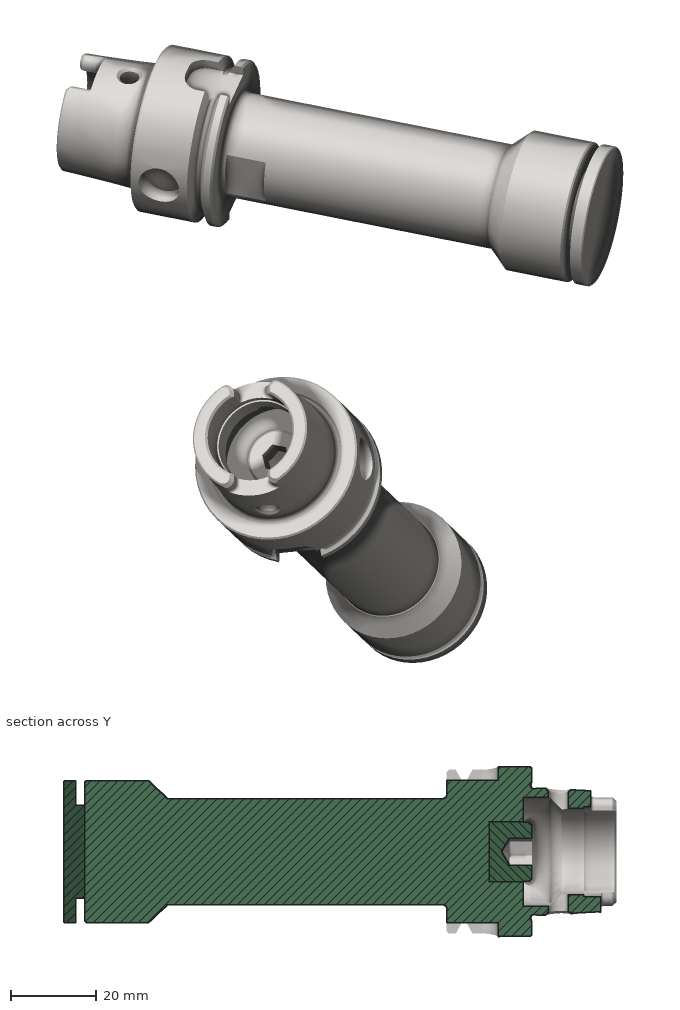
import cadquery as cq
import math


shank_length = 19.9
shank_end_radius = 14.1
shank_base_radius = 15.0
shank_chamfer = 0.4
taper_end_x = -2.3
neck_start_x = -1.25
neck_run = 0.35
neck_radius = 29.71 / 2

flange_radius = 20.0
flange_width = 20.0
flange_front_chamfer = 0.4
flange_back_chamfer = 0.5
face_groove_radius = 16.3
face_groove_floor_radius = 15.9
face_groove_depth = 0.3
face_groove_fillet = 0.8
gripper_center_x = 15.9
gripper_width = 3.9
gripper_half_angle = 30.0
relief_width = 1.5
relief_radius = 17.3
relief_fillet = 0.4

stem_fillet = 1.0
stem_radius = 12.5
head_cone_start = 85.7
head_cone_radius = 25.5 / 2
head_start = 90.0
head_end = 105.0
head_radius = 33.5 / 2
head_chamfer = 0.4

flats_distance = 22.0
flats_end = 30.6

bore_mouth_radius = 11.0
bore_radius = 10.5
step_radius = 10.1
step_x = -12.3
chamber_x = -7.0
chamber_radius = 25.5 / 2
chamber_floor_x = 2.0

slot_half_width = 4.1
slot_ledge_height = 12.75
slot_corner_radius = 2.25
slot_mouth_growth = 0.9
slot_mouth_depth = 1.0
slot_floor_fillet = 0.7
deep_slot_length = 6.0
shallow_slot_length = 3.7

access_hole_x = -6.2
access_hole_diameter = 4.6
access_mouth_chamfer = 0.7

pocket_x = 7.1
pocket_diameter = 10.0
pocket_depth = 4.6

keyway_start = 8.0
keyway_width = 11.0
keyway_corner_radius = 4.0
keyway_floor_height = 16.8

screw_radius = 7.0
screw_chamfer = 0.6
screw_start = 0.0
screw_end = 10.0
socket_width = 6.0
socket_turn = 16.0
socket_depth = 5.0
drill_point_angle = 118.0

disc_start = 107.0
disc_end = 110.0
disc_radius = head_radius
disc_chamfer = 0.3
disc_neck_radius = 11.0


def revolve_about_axis(points):
    """Turn an (x, radius) outline around the X axis."""
    return cq.Workplane("XY").polyline(points).close().revolve(360, (0, 0, 0), (1, 0, 0))


def arc_middle(center, radius, angle):
    """Point on a circle at an angle in degrees, used to pass an arc through it."""
    turn = math.radians(angle)
    return (center[0] + radius * math.cos(turn), center[1] + radius * math.sin(turn))


def turned_holder():
    groove_center = (face_groove_depth - face_groove_fillet, neck_radius + face_groove_fillet)
    stem_start = flange_width + stem_fillet
    stem_center = (stem_start, stem_radius + stem_fillet)
    return (
        cq.Workplane("XY")
        .moveTo(-shank_length, 0)
        .lineTo(-shank_length, shank_end_radius - shank_chamfer)
        .lineTo(-shank_length + shank_chamfer, shank_end_radius)
        .lineTo(taper_end_x, shank_base_radius)
        .lineTo(neck_start_x, shank_base_radius)
        .lineTo(neck_start_x + neck_run, neck_radius)
        .lineTo(groove_center[0], neck_radius)
        .threePointArc(
            arc_middle(groove_center, face_groove_fillet, -45),
            (face_groove_depth, groove_center[1]),
        )
        .lineTo(face_groove_depth, face_groove_floor_radius)
        .lineTo(0, face_groove_radius)
        .lineTo(0, flange_radius - flange_front_chamfer)
        .lineTo(flange_front_chamfer, flange_radius)
        .lineTo(flange_width - flange_back_chamfer, flange_radius)
        .lineTo(flange_width, flange_radius - flange_back_chamfer)
        .lineTo(flange_width, stem_center[1])
        .threePointArc(arc_middle(stem_center, stem_fillet, 225), (stem_start, stem_radius))
        .lineTo(head_cone_start, stem_radius)
        .lineTo(head_cone_start, head_cone_radius)
        .lineTo(head_start, head_radius)
        .lineTo(head_end - head_chamfer, head_radius)
        .lineTo(head_end, head_radius - head_chamfer)
        .lineTo(head_end, 0)
        .close()
        .revolve(360, (0, 0, 0), (1, 0, 0))
    )


def gripper_groove():
    """V-groove around the flange with a straight-walled relief along its bottom."""
    outer_half = gripper_width / 2
    relief_half = relief_width / 2
    floor_half = relief_half - relief_fillet
    wall_top = flange_radius - (outer_half - relief_half) / math.tan(math.radians(gripper_half_angle))
    wall_bottom = relief_radius + relief_fillet
    left_center = (-floor_half, wall_bottom)
    right_center = (floor_half, wall_bottom)
    return (
        cq.Workplane("XY", origin=(gripper_center_x, 0, 0))
        .moveTo(-outer_half, flange_radius)
        .lineTo(-relief_half, wall_top)
        .lineTo(-relief_half, wall_bottom)
        .threePointArc(arc_middle(left_center, relief_fillet, 225), (-floor_half, relief_radius))
        .lineTo(floor_half, relief_radius)
        .threePointArc(arc_middle(right_center, relief_fillet, -45), (relief_half, wall_bottom))
        .lineTo(relief_half, wall_top)
        .lineTo(outer_half, flange_radius)
        .close()
        .revolve(360, (0, 0, 0), (1, 0, 0))
    )


def shank_bore():
    mouth_run = bore_mouth_radius - bore_radius
    return revolve_about_axis([
        (-shank_length, 0),
        (-shank_length, bore_mouth_radius),
        (-shank_length + mouth_run, bore_radius),
        (step_x, bore_radius),
        (step_x, step_radius),
        (chamber_x, step_radius),
        (chamber_x + chamber_radius - step_radius, chamber_radius),
        (chamber_floor_x, chamber_radius),
        (chamber_floor_x, 0),
    ])


def slot_outline(x, growth):
    """Slot cross-section at X = x: straight flanks that round over onto a ledge."""
    side = slot_half_width + growth
    ledge = slot_ledge_height - growth
    radius = slot_corner_radius - growth
    corner = side + radius
    mid = radius * math.sqrt(0.5)
    outer = flange_radius
    return (
        cq.Workplane("YZ", origin=(x, 0, 0))
        .moveTo(-side, 0)
        .lineTo(-side, ledge - radius)
        .threePointArc((-corner + mid, ledge - radius + mid), (-corner, ledge))
        .lineTo(-outer, ledge)
        .lineTo(-outer, outer)
        .lineTo(outer, outer)
        .lineTo(outer, ledge)
        .lineTo(corner, ledge)
        .threePointArc((corner - mid, ledge - radius + mid), (side, ledge - radius))
        .lineTo(side, 0)
        .close()
    )


def drive_slot(length):
    body = slot_outline(-shank_length, 0).extrude(length)
    body = body.faces(">X").edges().fillet(slot_floor_fillet)
    mouth_end = slot_outline(-shank_length + slot_mouth_depth, 0).wires().val()
    mouth_start = slot_outline(-shank_length, slot_mouth_growth).wires().val()
    mouth = cq.Workplane(cq.Solid.makeLoft([mouth_start, mouth_end], True))
    return body.union(mouth)


def cut_access_holes(body):
    """Drill through both sides of the shank and chamfer the outer rims of the hole."""
    hole = cq.Workplane("XY").center(access_hole_x, 0).circle(access_hole_diameter / 2)
    body = body.cut(hole.extrude(flange_radius, both=True))
    reach = access_hole_diameter
    for inner, outer in ((shank_end_radius, shank_base_radius), (-shank_base_radius, -shank_end_radius)):
        rim = cq.selectors.BoxSelector(
            (access_hole_x - reach, -reach, inner),
            (access_hole_x + reach, reach, outer),
        )
        body = body.edges(rim).chamfer(access_mouth_chamfer)
    return body


def data_carrier_pocket():
    return (
        cq.Workplane("XZ", origin=(0, -(flange_radius - pocket_depth), 0))
        .center(pocket_x, 0)
        .circle(pocket_diameter / 2)
        .extrude(flange_radius)
    )


def keyway(side):
    length = flange_width - keyway_start
    block = (
        cq.Workplane("XY")
        .box(length, keyway_width, flange_radius, centered=(False, True, False))
        .edges("<X and |Z")
        .fillet(keyway_corner_radius)
        .translate((keyway_start, 0, keyway_floor_height))
    )
    if side < 0:
        block = block.rotate((0, 0, 0), (1, 0, 0), 180)
    return block


def wrench_flat(side):
    start = flange_width + stem_fillet
    return (
        cq.Workplane("XY")
        .box(flats_end - start, flange_radius, 2 * flange_radius, centered=(False, True, True))
        .translate((start, side * (flats_distance + flange_radius) / 2, 0))
    )


def make_holder():
    body = turned_holder().cut(gripper_groove()).cut(shank_bore())
    body = cut_access_holes(body)
    body = body.cut(drive_slot(deep_slot_length))
    body = body.cut(drive_slot(shallow_slot_length).rotate((0, 0, 0), (1, 0, 0), 180))
    body = body.cut(data_carrier_pocket())
    for side in (1, -1):
        body = body.cut(keyway(side)).cut(wrench_flat(side))
    seat = cq.Workplane("YZ", origin=(chamber_floor_x, 0, 0)).circle(screw_radius)
    return body.cut(seat.extrude(screw_end - chamber_floor_x))


def hex_socket():
    """Hexagon socket that ends in a drill point."""
    corner_radius = socket_width / math.sqrt(3)
    point_length = corner_radius / math.tan(math.radians(drill_point_angle / 2))
    prism = (
        cq.Workplane("YZ", origin=(screw_start, 0, 0))
        .polygon(6, 2 * corner_radius)
        .extrude(socket_depth + point_length)
        .rotate((0, 0, 0), (1, 0, 0), socket_turn)
    )
    drill = revolve_about_axis([
        (screw_start, 0),
        (screw_start, corner_radius),
        (screw_start + socket_depth, corner_radius),
        (screw_start + socket_depth + point_length, 0),
    ])
    return prism.intersect(drill)


def make_screw():
    body = revolve_about_axis([
        (screw_start, 0),
        (screw_start, screw_radius - screw_chamfer),
        (screw_start + screw_chamfer, screw_radius),
        (screw_end, screw_radius),
        (screw_end, 0),
    ])
    return body.cut(hex_socket())


def make_disc():
    return revolve_about_axis([
        (head_end, 0),
        (head_end, disc_neck_radius),
        (disc_start, disc_neck_radius),
        (disc_start, disc_radius),
        (disc_end - disc_chamfer, disc_radius),
        (disc_end, disc_radius - disc_chamfer),
        (disc_end, 0),
    ])


holder = make_holder()
screw = make_screw()
end_disc = make_disc()

result = cq.Compound.makeCompound([holder.val(), screw.val(), end_disc.val()])